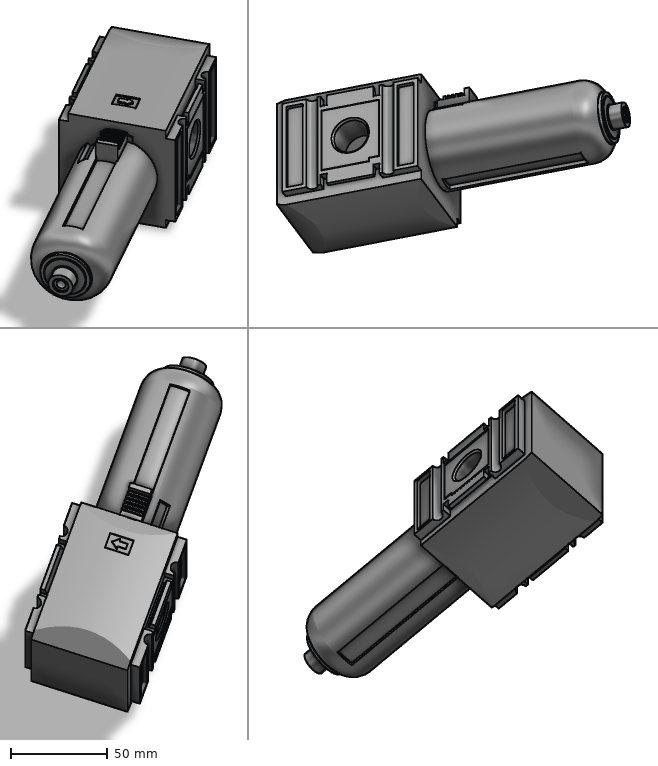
import cadquery as cq
import math


TOTAL_LENGTH = 183.5
OVERCUT = 1.8

BLOCK_WIDTH = 52.8
BLOCK_HEIGHT = 63.0
CROWN_HEIGHT = 67.2
BLOCK_LENGTH = 75.0
CAP_LENGTH = 5.0
SLOPE_RUN = 8.3

PAD_SPAN = 63.0
PAD_HEIGHT = BLOCK_WIDTH
CLAMP_GROOVE_DIAMETER = 6.0
CLAMP_GROOVE_OFFSET = 21.1
RECESS_MARGIN = 2.2
RECESS_WIDTH = 9.2
RECESS_DEPTH = 2.4
RECESS_CORNER_RADIUS = 0.7
NOTCH_INNER = 12.8
NOTCH_OUTER = 16.3
NOTCH_DEPTH = 5.9
LIP_TOP_THICKNESS = 2.4
LIP_ROOT_THICKNESS = 4.0

PANEL_LENGTH = 32.0
PANEL_HEIGHT = 35.8
PANEL_DEPTH = 0.5
PANEL_KEY_LENGTH = 5.5
PANEL_KEY_HEIGHT = 2.0
PORT_DIAMETER = 18.7
PORT_MOUTH_DIAMETER = 21.0
PORT_DEPTH = 18.4

BADGE_WIDTH = 12.8
BADGE_LENGTH = 8.5
BADGE_CENTRE_Y = 16.1
BADGE_DEPTH = 1.0
ARROW_LENGTH = 8.0
ARROW_HEAD_LENGTH = 3.7
ARROW_HEAD_WIDTH = 5.9
ARROW_SHAFT_WIDTH = 3.0

BOWL_GAP = 0.5
BOWL_DIAMETER = 43.9
DOME_START = 82.2
DOME_DEPTH = 11.0
DOME_END_DIAMETER = 28.0
DISC_DIAMETER = 27.0
DISC_END = 95.0
HUB_DIAMETER = 23.0
HUB_TOP_DIAMETER = 22.0
HUB_END = 95.6
COLLAR_DIAMETER = 13.8
COLLAR_END = 96.3
STEM_DIAMETER = 13.2
DRAIN_MOUTH_DIAMETER = 8.6
DRAIN_DIAMETER = 8.0
DRAIN_DEPTH = 1.1
BORE_DIAMETER = 5.0
BORE_DEPTH = 7.3

FLOOR_DIAMETER = 39.3
LONG_GROOVE_WIDTH = 10.8
LONG_GROOVE_END = 80.7
BOTTOM_GROOVE_START = 3.9
MARK_INNER_X = 10.3
MARK_OUTER_ANGLE = 44.0

LATCH_START = 1.1
LATCH_END = 18.9
LATCH_WIDTH = 11.7
LATCH_BASE_RADIUS = 27.3
LATCH_RIB_RADIUS = 29.0
LATCH_TOP = 30.8
STOP_LENGTH = 2.8
RIB_COUNT = 5
RIB_WIDTH = 1.1
RIB_FIELD_LENGTH = 11.7
TAB_WIDTH = 17.2
TAB_RADIUS = 25.7

BACK_Y = BLOCK_LENGTH + CAP_LENGTH
STEM_END = TOTAL_LENGTH - BACK_Y
PAD_MIDDLE_Y = BLOCK_LENGTH / 2
BOWL_RADIUS = BOWL_DIAMETER / 2
FLOOR_RADIUS = FLOOR_DIAMETER / 2


def box(x0, x1, y0, y1, z0, z1):
    """Box given by its limits along each axis."""
    return cq.Workplane("XY").box(x1 - x0, y1 - y0, z1 - z0, centered=False).translate((x0, y0, z0))


def disc(radius, start, end):
    """Solid cylinder on the bowl axis, between two distances from the housing face."""
    return cq.Workplane("XZ", origin=(0, -start, 0)).circle(radius).extrude(end - start)


def crowned_block():
    """Block with arched top and bottom whose ends slope away to the side-edge height."""
    half_width = BLOCK_WIDTH / 2
    edge_z = BLOCK_HEIGHT / 2
    crown_z = CROWN_HEIGHT / 2
    block = (
        cq.Workplane("XZ")
        .moveTo(-half_width, -edge_z)
        .threePointArc((0, -crown_z), (half_width, -edge_z))
        .lineTo(half_width, edge_z)
        .threePointArc((0, crown_z), (-half_width, edge_z))
        .close()
        .extrude(-BACK_Y)
    )
    back_z = edge_z - CAP_LENGTH * (crown_z - edge_z) / SLOPE_RUN
    envelope = (
        cq.Workplane("YZ")
        .polyline([
            (0, -edge_z),
            (SLOPE_RUN, -crown_z),
            (BLOCK_LENGTH - SLOPE_RUN, -crown_z),
            (BACK_Y, -back_z),
            (BACK_Y, back_z),
            (BLOCK_LENGTH - SLOPE_RUN, crown_z),
            (SLOPE_RUN, crown_z),
            (0, edge_z),
        ])
        .close()
        .extrude(half_width, both=True)
    )
    return block.intersect(envelope)


def clamp_groove(y):
    """Half-round groove along the full height of a pad."""
    return (
        cq.Workplane("XY", origin=(-PAD_SPAN / 2, y, 0))
        .circle(CLAMP_GROOVE_DIAMETER / 2)
        .extrude(PAD_HEIGHT / 2, both=True)
    )


def face_recess(y_middle, length, height, depth):
    """Rectangular recess in the outer pad face."""
    x_face = -PAD_SPAN / 2
    return box(x_face - OVERCUT, x_face + depth,
               y_middle - length / 2, y_middle + length / 2, -height / 2, height / 2)


def end_recess(y_middle):
    """Round-cornered recess beside a clamp groove."""
    recess = face_recess(y_middle, RECESS_WIDTH, PAD_HEIGHT - 2 * RECESS_MARGIN, RECESS_DEPTH)
    return recess.edges("|X").fillet(RECESS_CORNER_RADIUS)


def lip_cutter():
    """Notches at the upper pad edge and the slope-sided channel that joins them behind the lip."""
    x_face = -PAD_SPAN / 2
    x_block = -BLOCK_WIDTH / 2
    top = PAD_HEIGHT / 2
    floor = top - NOTCH_DEPTH
    cutter = (
        cq.Workplane("XZ", origin=(0, PAD_MIDDLE_Y, 0))
        .polyline([
            (x_face + LIP_TOP_THICKNESS, top),
            (x_face + LIP_ROOT_THICKNESS, floor),
            (x_block, floor),
            (x_block, top),
        ])
        .close()
        .extrude(NOTCH_INNER, both=True)
    )
    for near, far in ((-NOTCH_OUTER, -NOTCH_INNER), (NOTCH_INNER, NOTCH_OUTER)):
        cutter = cutter.union(box(x_face, x_block, PAD_MIDDLE_Y + near, PAD_MIDDLE_Y + far, floor, top))
    return cutter


def port_panel():
    """Shallow square recess around the port, with one lower corner left standing."""
    panel = face_recess(PAD_MIDDLE_Y, PANEL_LENGTH, PANEL_HEIGHT, PANEL_DEPTH)
    corner_y = PAD_MIDDLE_Y - PANEL_LENGTH / 2
    corner_z = -PANEL_HEIGHT / 2
    key = box(-PAD_SPAN / 2 - OVERCUT, 0, corner_y, corner_y + PANEL_KEY_LENGTH,
              corner_z, corner_z + PANEL_KEY_HEIGHT)
    return panel.cut(key)


def port():
    """Blind port with a 45 degree mouth."""
    x_panel = -PAD_SPAN / 2 + PANEL_DEPTH
    mouth_radius = PORT_MOUTH_DIAMETER / 2
    bore_radius = PORT_DIAMETER / 2
    x_bottom = -PAD_SPAN / 2 + PORT_DEPTH
    return (
        cq.Workplane("XY")
        .polyline([
            (x_panel, 0),
            (x_panel, mouth_radius),
            (x_panel + mouth_radius - bore_radius, bore_radius),
            (x_bottom, bore_radius),
            (x_bottom, 0),
        ])
        .close()
        .revolve(360, (0, 0), (1, 0))
        .translate((0, PAD_MIDDLE_Y, 0))
    )


def side_pad():
    """Pad on the -X side with its clamp grooves, recesses and notched lips."""
    pad = box(-PAD_SPAN / 2, -BLOCK_WIDTH / 2, 0, BLOCK_LENGTH, -PAD_HEIGHT / 2, PAD_HEIGHT / 2)
    recess_offset = PAD_MIDDLE_Y - RECESS_MARGIN - RECESS_WIDTH / 2
    for side in (-1, 1):
        pad = pad.cut(clamp_groove(PAD_MIDDLE_Y + side * CLAMP_GROOVE_OFFSET))
        pad = pad.cut(end_recess(PAD_MIDDLE_Y + side * recess_offset))
    upper_lip = lip_cutter()
    return pad.cut(upper_lip).cut(upper_lip.mirror("XY")).cut(port_panel())


def flow_badge():
    """Recess in the crown that leaves an arrow pointing along +X standing."""
    floor_z = CROWN_HEIGHT / 2 - BADGE_DEPTH
    arrow_base_x = ARROW_LENGTH / 2 - ARROW_HEAD_LENGTH
    plane = cq.Workplane("XY", origin=(0, BADGE_CENTRE_Y, floor_z))
    arrow = (
        plane.polyline([
            (-ARROW_LENGTH / 2, -ARROW_SHAFT_WIDTH / 2),
            (arrow_base_x, -ARROW_SHAFT_WIDTH / 2),
            (arrow_base_x, -ARROW_HEAD_WIDTH / 2),
            (ARROW_LENGTH / 2, 0),
            (arrow_base_x, ARROW_HEAD_WIDTH / 2),
            (arrow_base_x, ARROW_SHAFT_WIDTH / 2),
            (-ARROW_LENGTH / 2, ARROW_SHAFT_WIDTH / 2),
        ])
        .close()
        .extrude(BADGE_DEPTH)
    )
    return plane.rect(BADGE_WIDTH, BADGE_LENGTH).extrude(BADGE_DEPTH).cut(arrow)


def make_housing():
    left_pad = side_pad()
    left_port = port()
    body = crowned_block().union(left_pad).union(left_pad.mirror("YZ"))
    return body.cut(left_port).cut(left_port.mirror("YZ")).cut(flow_badge())


def bowl_shell():
    """Turned outline of the bowl: barrel, dome, disc, hub and drain stem with its bore."""
    dome_end_radius = DOME_END_DIAMETER / 2
    dome_drop = BOWL_RADIUS - dome_end_radius
    dome_end = DOME_START + DOME_DEPTH
    arc_radius = (DOME_DEPTH ** 2 + dome_drop ** 2) / (2 * dome_drop)
    half_angle = math.asin(DOME_DEPTH / arc_radius) / 2
    arc_middle = (
        BOWL_RADIUS - arc_radius * (1 - math.cos(half_angle)),
        -DOME_START - arc_radius * math.sin(half_angle),
    )
    hub_chamfer = (HUB_DIAMETER - HUB_TOP_DIAMETER) / 2
    drain_chamfer = (DRAIN_MOUTH_DIAMETER - DRAIN_DIAMETER) / 2
    return (
        cq.Workplane("XY")
        .moveTo(0, -BOWL_GAP)
        .lineTo(BOWL_RADIUS, -BOWL_GAP)
        .lineTo(BOWL_RADIUS, -DOME_START)
        .threePointArc(arc_middle, (dome_end_radius, -dome_end))
        .lineTo(DISC_DIAMETER / 2, -dome_end)
        .lineTo(DISC_DIAMETER / 2, -DISC_END)
        .lineTo(HUB_DIAMETER / 2, -DISC_END)
        .lineTo(HUB_DIAMETER / 2, -HUB_END + hub_chamfer)
        .lineTo(HUB_TOP_DIAMETER / 2, -HUB_END)
        .lineTo(COLLAR_DIAMETER / 2, -HUB_END)
        .lineTo(COLLAR_DIAMETER / 2, -COLLAR_END)
        .lineTo(STEM_DIAMETER / 2, -COLLAR_END)
        .lineTo(STEM_DIAMETER / 2, -STEM_END)
        .lineTo(DRAIN_MOUTH_DIAMETER / 2, -STEM_END)
        .lineTo(DRAIN_DIAMETER / 2, -STEM_END + drain_chamfer)
        .lineTo(DRAIN_DIAMETER / 2, -STEM_END + DRAIN_DEPTH)
        .lineTo(BORE_DIAMETER / 2, -STEM_END + DRAIN_DEPTH)
        .lineTo(BORE_DIAMETER / 2, -STEM_END + BORE_DEPTH)
        .lineTo(0, -STEM_END + BORE_DEPTH)
        .close()
        .revolve(360, (0, 0), (0, 1))
    )


def top_sector(width, radius, start, end):
    """Upper sector of a bowl-axis cylinder, of the given width and down to the groove floor."""
    slab = box(-width / 2, width / 2, -end, -start, 0, radius + OVERCUT)
    return slab.intersect(disc(radius, start, end)).cut(disc(FLOOR_RADIUS, start, end))


def long_groove(start):
    """Groove along the top of the barrel with a floor concentric to the bowl."""
    return top_sector(LONG_GROOVE_WIDTH, BOWL_RADIUS + OVERCUT, start, LONG_GROOVE_END)


def side_mark():
    """Short groove on the upper -X flank, between an upright wall and a tilted radial wall."""
    reach = BOWL_RADIUS + OVERCUT
    slope = math.radians(MARK_OUTER_ANGLE)
    wedge = (
        cq.Workplane("XZ", origin=(0, -BOWL_GAP, 0))
        .polyline([
            (-MARK_INNER_X, MARK_INNER_X * math.tan(slope)),
            (-reach, reach * math.tan(slope)),
            (-reach, reach * math.tan(slope) + OVERCUT),
            (-MARK_INNER_X, reach * math.tan(slope) + OVERCUT),
        ])
        .close()
        .extrude(LATCH_END - BOWL_GAP)
    )
    return wedge.cut(disc(FLOOR_RADIUS, BOWL_GAP, LATCH_END))


def latch():
    """Ribbed thumb latch with an upright stop at its outer end and a tab at its inner end."""
    stop_start = LATCH_END - STOP_LENGTH
    body = top_sector(LATCH_WIDTH, LATCH_BASE_RADIUS, LATCH_START, LATCH_END)
    stop = box(-LATCH_WIDTH / 2, LATCH_WIDTH / 2, -LATCH_END, -stop_start, BOWL_RADIUS, LATCH_TOP)
    tab = top_sector(TAB_WIDTH, TAB_RADIUS, BOWL_GAP, LATCH_START)
    body = body.union(stop).union(tab)
    first_rib = stop_start - RIB_FIELD_LENGTH
    rib_pitch = RIB_FIELD_LENGTH / RIB_COUNT
    for index in range(RIB_COUNT):
        start = first_rib + index * rib_pitch
        body = body.union(top_sector(LATCH_WIDTH, LATCH_RIB_RADIUS, start, start + RIB_WIDTH))
    return body


def make_bowl():
    bottom_groove = long_groove(BOTTOM_GROOVE_START).mirror("XY")
    barrel = bowl_shell().cut(long_groove(LATCH_END)).cut(bottom_groove).cut(side_mark())
    return barrel.union(latch())


housing = make_housing()
bowl = make_bowl()
result = cq.Compound.makeCompound([housing.val(), bowl.val()])